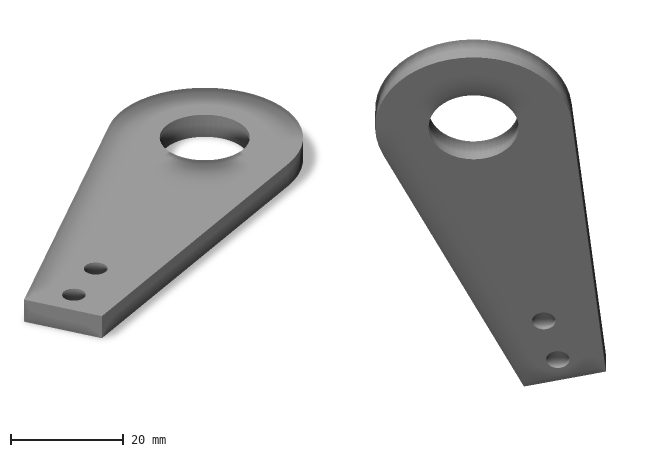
import cadquery as cq
import math

length = 82.5
thickness = 4.5
head_radius = 17.5
tip_width = 15.0

bore_diameter = 16.0
pin_diameter = 4.2
pin_edge_distance = 5.0
pin_spacing = 10.0

tip_y = head_radius - length
tip_half_width = tip_width / 2

corner_distance = math.hypot(tip_half_width, tip_y)
corner_angle = math.atan2(tip_y, tip_half_width)
tangent_angle = corner_angle + math.acos(head_radius / corner_distance)
tangent_x = head_radius * math.cos(tangent_angle)
tangent_y = head_radius * math.sin(tangent_angle)

plate = (
    cq.Workplane("XY")
    .moveTo(-tip_half_width, tip_y)
    .lineTo(tip_half_width, tip_y)
    .lineTo(tangent_x, tangent_y)
    .threePointArc((0, head_radius), (-tangent_x, tangent_y))
    .close()
    .extrude(thickness)
)

bore = cq.Workplane("XY").circle(bore_diameter / 2).extrude(thickness)

first_pin_y = tip_y + pin_edge_distance
pin_centres = [(0, first_pin_y), (0, first_pin_y + pin_spacing)]
pins = cq.Workplane("XY").pushPoints(pin_centres).circle(pin_diameter / 2).extrude(thickness)

result = plate.cut(bore).cut(pins)